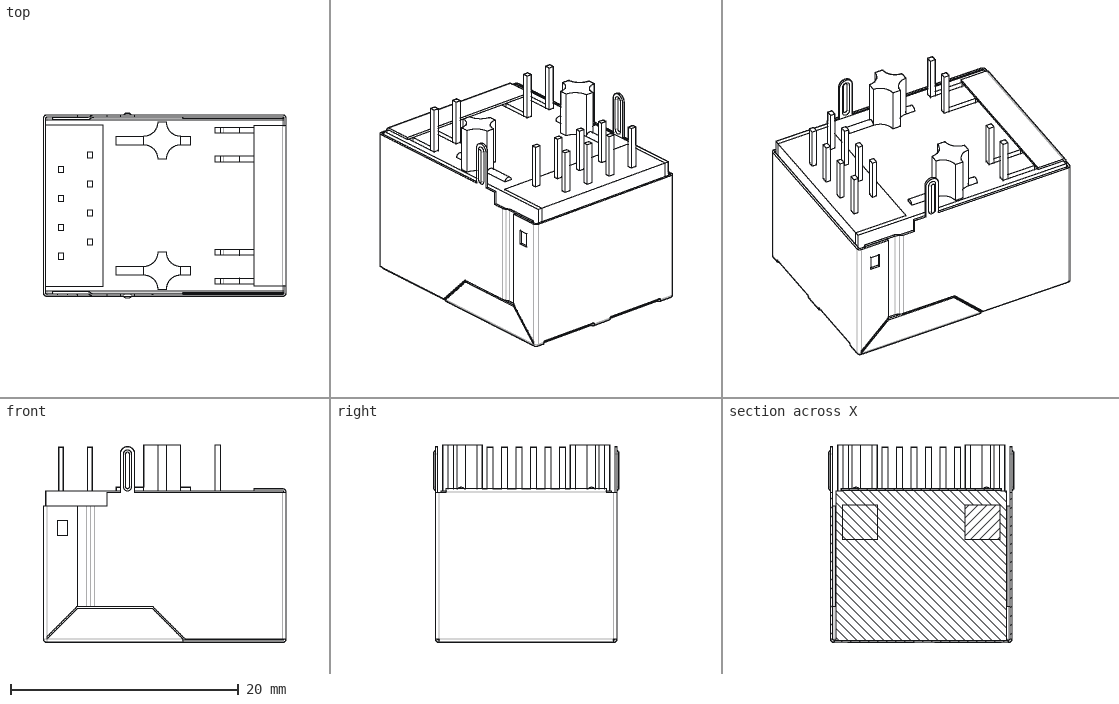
import cadquery as cq
import math


LENGTH = 21.3
HALF_WIDTH = 7.97
SHEET = 0.2
BEND_RADIUS = 0.3
INNER_BEND = BEND_RADIUS - SHEET
SIDE_TOP = 13.17
REAR_TOP = 11.98
STEP_X = 5.6
INNER_Y = HALF_WIDTH - SHEET
MARGIN = 1.0

LIP_REAR_X = 18.48
LIP_HALF_WIDTH = 7.03

FLAP_HEIGHT = 3.0
FLAP_REAR_X = 3.0
FLAP_FRONT_X = 9.55
FLAP_GAP = 0.14
BOTTOM_HALF_WIDTH = 7.65

DOOR_TAB_END_X = FLAP_REAR_X
WINDOW_X = (1.25, 2.13)
WINDOW_Z = (9.4, 10.7)
JOG_REAR_X = 3.8
JOG_FRONT_X = 4.5
JOG_DEPTH = 0.23
FLANGE_REAR_X = 0.82

HINGE_CUT_HEIGHT = 0.42
HINGE_CUT_WIDTH = 5.77
HINGE_CUT_CENTERS = (4.1, -3.53)
HINGE_CUT_CORNER = 0.13

GROUND_TAB_X = 7.38
GROUND_TAB_WIDTH = 1.27
GROUND_TAB_TOP = 17.2
BEAD_LENGTH = 3.6
BEAD_WIDTH = 0.7
BEAD_CREST_WIDTH = 0.32
BEAD_HEIGHT = 0.15
BEAD_CENTER_Z = 15.1

HOUSING_TOP = 13.3
HOUSING_HALF_WIDTH = 7.5
HOUSING_FRONT_X = LENGTH - SHEET

POST_X = 10.42
POST_Y = 5.715
POST_SPAN = 3.26
POST_ARM_WIDTH = 0.75
POST_TOP = 17.35
RIB_X = (6.38, 12.93)
RIB_WIDTH = POST_ARM_WIDTH
RIB_HEIGHT = 0.33

INSERT_FRONT_X = 5.24
INSERT_HALF_WIDTH = 7.1
PIN_COUNT = 8
PIN_PITCH = 1.27
PIN_ROW_X = (1.54, 4.08)
PIN_SIZE_X = 0.42
PIN_SIZE_Y = 0.54
PIN_TOP = 17.14

LED_Y = 5.36
LED_LEAD_SPACING = 2.54
LEAD_SIZE = 0.5
LEAD_X = 15.05
LEAD_TOP = POST_TOP
LEAD_BEND = 0.24
FOOT_TOP = HOUSING_TOP - 1.0
FOOT_BOTTOM = FOOT_TOP - LEAD_SIZE
LED_REAR_X = 17.2
LED_TOP = FOOT_TOP - LEAD_SIZE / 2
LED_BOTTOM = LED_TOP - 3.0
LED_WIDTH = LED_LEAD_SPACING + LEAD_SIZE


def block(x_range, y_range, z_range):
    """Box between two limits along each axis."""
    size = [high - low for low, high in (x_range, y_range, z_range)]
    corner = (x_range[0], y_range[0], z_range[0])
    return cq.Workplane("XY").box(*size, centered=False).translate(corner)


def side_prism(points, y_start, y_end):
    """Closed XZ outline extruded between two Y positions."""
    return cq.Workplane("XZ", origin=(0, y_start, 0)).polyline(points).close().extrude(y_start - y_end)


def both_sides(shape):
    """The shape together with its mirror image across the XZ plane."""
    return shape.union(shape.mirror("XZ"))


def shield_shell():
    """Bent sheet box with rounded bends, before its edges are trimmed."""
    outer = block((0, LENGTH), (-HALF_WIDTH, HALF_WIDTH), (0, HOUSING_TOP + SHEET))
    outer = outer.edges("|Z or <Z or (>X and >Z)").fillet(BEND_RADIUS)
    inner = block((SHEET, HOUSING_FRONT_X), (-INNER_Y, INNER_Y), (SHEET, HOUSING_TOP))
    inner = inner.edges("|Z or <Z or (>X and >Z)").fillet(INNER_BEND)
    return outer.cut(inner)


def top_trim():
    """Material removed above the walls, leaving the front lip."""
    wide = (-HALF_WIDTH - MARGIN, HALF_WIDTH + MARGIN)
    above = HOUSING_TOP + MARGIN
    trim = block((-MARGIN, LENGTH + MARGIN), wide, (SIDE_TOP, above))
    lip = block((LIP_REAR_X, LENGTH + MARGIN), (-LIP_HALF_WIDTH, LIP_HALF_WIDTH), (SIDE_TOP, above))
    rear_step = block((-MARGIN, STEP_X), wide, (REAR_TOP, above))
    return trim.cut(lip).union(rear_step)


def side_trim():
    """Material removed from the +Y side wall: flap gap, groove, latch window and lower slit."""
    y_range = (BOTTOM_HALF_WIDTH, HALF_WIDTH + MARGIN)
    rise = FLAP_HEIGHT - BEND_RADIUS
    corner_shift = FLAP_GAP * math.tan(math.radians(22.5))
    diagonal_shift = FLAP_GAP * math.sqrt(2)
    flap_front_foot = FLAP_FRONT_X + rise
    gap_outline = [
        (FLAP_REAR_X - rise, BEND_RADIUS),
        (FLAP_REAR_X, FLAP_HEIGHT),
        (FLAP_FRONT_X, FLAP_HEIGHT),
        (flap_front_foot, BEND_RADIUS),
        (flap_front_foot + diagonal_shift, BEND_RADIUS),
        (FLAP_FRONT_X + corner_shift, FLAP_HEIGHT + FLAP_GAP),
        (FLAP_REAR_X - corner_shift, FLAP_HEIGHT + FLAP_GAP),
        (FLAP_REAR_X - rise, BEND_RADIUS + diagonal_shift),
    ]
    flap_gap = side_prism(gap_outline, *y_range)
    groove = block((DOOR_TAB_END_X, JOG_FRONT_X), y_range, (FLAP_HEIGHT, REAR_TOP))
    window = block(WINDOW_X, y_range, WINDOW_Z)
    lower_slit = block((flap_front_foot, LENGTH + MARGIN), y_range, (-MARGIN, BEND_RADIUS))
    return flap_gap.union(groove).union(window).union(lower_slit)


def inset_flange():
    """Rear end of the +Y side wall, jogged inwards behind the door tab."""
    middle_x = (JOG_REAR_X + JOG_FRONT_X) / 2
    overlap_x = JOG_FRONT_X + SHEET
    flange_outer_y = HALF_WIDTH - JOG_DEPTH
    flange_inner_y = flange_outer_y - SHEET
    bottom = FLAP_HEIGHT + FLAP_GAP
    return (
        cq.Workplane("XY", origin=(0, 0, bottom))
        .moveTo(overlap_x, HALF_WIDTH)
        .lineTo(JOG_FRONT_X, HALF_WIDTH)
        .tangentArcPoint((middle_x, HALF_WIDTH - JOG_DEPTH / 2), relative=False)
        .tangentArcPoint((JOG_REAR_X, flange_outer_y), relative=False)
        .lineTo(FLANGE_REAR_X, flange_outer_y)
        .lineTo(FLANGE_REAR_X, flange_inner_y)
        .lineTo(JOG_REAR_X, flange_inner_y)
        .tangentArcPoint((middle_x, INNER_Y - JOG_DEPTH / 2), relative=False)
        .tangentArcPoint((JOG_FRONT_X, INNER_Y), relative=False)
        .lineTo(overlap_x, INNER_Y)
        .close()
        .extrude(REAR_TOP - bottom)
    )


def bead(y_base):
    """Tapered bead with round ends, rising towards +Y from the given plane."""
    taper = math.degrees(math.atan((BEAD_WIDTH - BEAD_CREST_WIDTH) / 2 / BEAD_HEIGHT))
    return (
        cq.Workplane("XZ", origin=(GROUND_TAB_X, y_base, BEAD_CENTER_Z))
        .slot2D(BEAD_LENGTH, BEAD_WIDTH, 90)
        .extrude(-BEAD_HEIGHT, taper=taper)
    )


def ground_tab():
    """Round-ended solder tab on the +Y side wall, with its bead pressed outwards."""
    radius = GROUND_TAB_WIDTH / 2
    tip_center_z = GROUND_TAB_TOP - radius
    root_z = SIDE_TOP - MARGIN
    x_range = (GROUND_TAB_X - radius, GROUND_TAB_X + radius)
    strip = block(x_range, (INNER_Y, HALF_WIDTH), (root_z, tip_center_z))
    tip = cq.Workplane("XZ", origin=(GROUND_TAB_X, INNER_Y, tip_center_z)).circle(radius).extrude(-SHEET)
    return strip.union(tip).union(bead(HALF_WIDTH)).cut(bead(INNER_Y))


def hinge_cuts():
    """Cut-outs that leave three narrow hinges between rear wall and bottom."""
    cuts = cq.Workplane("XY")
    for center_y in HINGE_CUT_CENTERS:
        y_range = (center_y - HINGE_CUT_WIDTH / 2, center_y + HINGE_CUT_WIDTH / 2)
        cut = block((-MARGIN, HINGE_CUT_HEIGHT), y_range, (-MARGIN, HINGE_CUT_HEIGHT))
        cut = cut.edges("(|X and >Z) or (|Z and >X)").fillet(HINGE_CUT_CORNER)
        cuts = cuts.add(cut)
    return cuts.combine()


def make_shield():
    shield = shield_shell().cut(top_trim()).cut(both_sides(side_trim())).cut(hinge_cuts())
    return shield.union(both_sides(inset_flange())).union(both_sides(ground_tab()))


def make_led(center_y):
    """LED body with two bent leads."""
    y_range = (center_y - LED_WIDTH / 2, center_y + LED_WIDTH / 2)
    led = block((LED_REAR_X, HOUSING_FRONT_X), y_range, (LED_BOTTOM, LED_TOP))
    for side in (-1, 1):
        lead_y = center_y + side * LED_LEAD_SPACING / 2
        inner_x = LEAD_X + LEAD_SIZE
        lead = (
            cq.Workplane("XZ", origin=(0, lead_y + LEAD_SIZE / 2, 0))
            .moveTo(LEAD_X, LEAD_TOP)
            .lineTo(LEAD_X, FOOT_BOTTOM)
            .lineTo(LED_REAR_X, FOOT_BOTTOM)
            .lineTo(LED_REAR_X, FOOT_TOP)
            .lineTo(inner_x + LEAD_BEND, FOOT_TOP)
            .tangentArcPoint((inner_x, FOOT_TOP + LEAD_BEND), relative=False)
            .lineTo(inner_x, LEAD_TOP)
            .close()
            .extrude(LEAD_SIZE)
        )
        led = led.union(lead)
    return led


def led_recess(center_y):
    """Space in the housing for one LED, with a slot open to the top over each lead."""
    y_range = (center_y - LED_WIDTH / 2, center_y + LED_WIDTH / 2)
    recess = block((LED_REAR_X, HOUSING_FRONT_X), y_range, (LED_BOTTOM, LED_TOP))
    for side in (-1, 1):
        lead_y = center_y + side * LED_LEAD_SPACING / 2
        slot_y = (lead_y - LEAD_SIZE / 2, lead_y + LEAD_SIZE / 2)
        recess = recess.union(block((LEAD_X, LED_REAR_X), slot_y, (FOOT_BOTTOM, HOUSING_TOP)))
        recess = recess.union(block((LED_REAR_X, LIP_REAR_X), slot_y, (LED_TOP, HOUSING_TOP)))
    return recess


def insert_block():
    return block((SHEET, INSERT_FRONT_X), (-INSERT_HALF_WIDTH, INSERT_HALF_WIDTH), (REAR_TOP, HOUSING_TOP))


def make_insert():
    """Contact insert with its staggered pins."""
    insert = insert_block()
    for index in range(PIN_COUNT):
        pin_x = PIN_ROW_X[index % 2]
        pin_y = (index - (PIN_COUNT - 1) / 2) * PIN_PITCH
        x_range = (pin_x - PIN_SIZE_X / 2, pin_x + PIN_SIZE_X / 2)
        y_range = (pin_y - PIN_SIZE_Y / 2, pin_y + PIN_SIZE_Y / 2)
        insert = insert.union(block(x_range, y_range, (REAR_TOP, PIN_TOP)))
    return insert


def post(center_y):
    """Square post with its corners hollowed by quarter circles, leaving a cross."""
    height = POST_TOP - HOUSING_TOP
    half_span = POST_SPAN / 2
    corners = [(sx * half_span, sy * half_span) for sx in (-1, 1) for sy in (-1, 1)]
    flute_radius = half_span - POST_ARM_WIDTH / 2
    plane = cq.Workplane("XY", origin=(POST_X, center_y, HOUSING_TOP))
    flutes = plane.pushPoints(corners).circle(flute_radius).extrude(height)
    return plane.rect(POST_SPAN, POST_SPAN).extrude(height).cut(flutes)


def rib(center_y):
    """Low rib with an arched top, running along X."""
    return (
        cq.Workplane("YZ", origin=(RIB_X[0], center_y, HOUSING_TOP))
        .moveTo(-RIB_WIDTH / 2, 0)
        .threePointArc((0, RIB_HEIGHT), (RIB_WIDTH / 2, 0))
        .close()
        .extrude(RIB_X[1] - RIB_X[0])
    )


def make_housing():
    """Plastic core that fills the shield and carries the insert and the LEDs."""
    core = block((SHEET, HOUSING_FRONT_X), (-HOUSING_HALF_WIDTH, HOUSING_HALF_WIDTH), (SHEET, HOUSING_TOP))
    core = core.edges("|Y and (<Z or >X)").fillet(INNER_BEND)
    housing = core.cut(insert_block())
    for side in (-1, 1):
        housing = housing.union(post(side * POST_Y)).union(rib(side * POST_Y))
        housing = housing.cut(led_recess(side * LED_Y))
    return housing


shield = make_shield()
housing = make_housing()
insert = make_insert()
leds = [make_led(side * LED_Y) for side in (-1, 1)]

bodies = [shield, housing, insert, *leds]
result = cq.Compound.makeCompound([body.solids().val() for body in bodies])